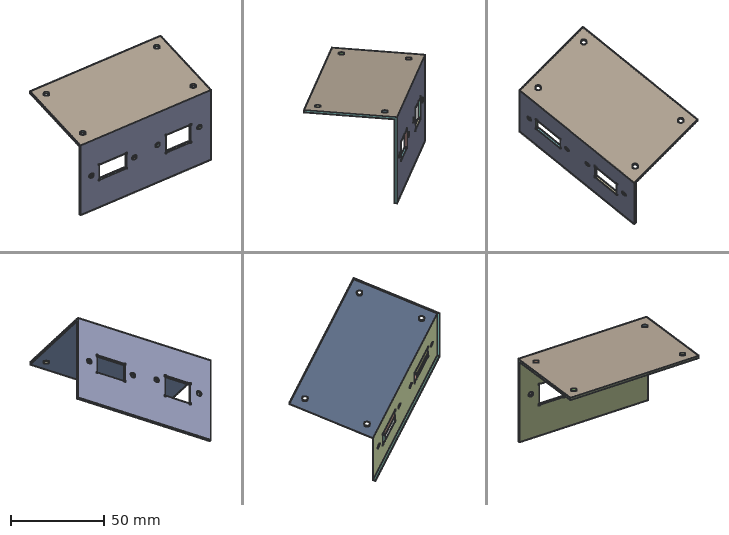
import cadquery as cq

length = 82.55
leg = 50.8
thickness = 1.5

mount_hole_diameter = 3.1
mount_hole_inset = 6.35
clear_width = leg - thickness

window_offset = 20.7
panel_hole_diameter = 3.0

large_window_width = 15.6
large_window_height = 12.8
large_relief_diameter = 1.1
large_window_hole_spacing = 26.4
large_window_hole_rise = 1.9

small_window_width = 17.3
small_window_height = 11.1
small_relief_diameter = 0.8
small_window_hole_spacing = 27.2
small_window_hole_rise = 0.0


def angle_body():
    """L-section with its outer corner at +X, +Z, centred on the origin."""
    half_leg = leg / 2
    inner = half_leg - thickness
    return (
        cq.Workplane("XZ")
        .moveTo(-half_leg, half_leg)
        .lineTo(half_leg, half_leg)
        .lineTo(half_leg, -half_leg)
        .lineTo(inner, -half_leg)
        .lineTo(inner, inner)
        .lineTo(-half_leg, inner)
        .close()
        .extrude(length / 2, both=True)
    )


def mounting_holes():
    """Four vertical cutters through the horizontal plate."""
    return (
        cq.Workplane("XY", origin=(-thickness / 2, 0, leg / 2 - thickness))
        .rect(clear_width - 2 * mount_hole_inset, length - 2 * mount_hole_inset, forConstruction=True)
        .vertices()
        .circle(mount_hole_diameter / 2)
        .extrude(thickness)
    )


def panel_window(center_y, width, height, relief_diameter, hole_spacing, hole_rise):
    """Cutter for a window with round corner reliefs and a screw hole on either side."""
    panel = cq.Workplane("YZ", origin=(leg / 2 - thickness, center_y, 0))
    opening = panel.rect(width, height).extrude(thickness)
    reliefs = (
        panel.rect(width, height, forConstruction=True)
        .vertices()
        .circle(relief_diameter / 2)
        .extrude(thickness)
    )
    screw_holes = (
        panel.pushPoints([(side * hole_spacing / 2, hole_rise) for side in (-1, 1)])
        .circle(panel_hole_diameter / 2)
        .extrude(thickness)
    )
    return opening.union(reliefs).union(screw_holes)


large_window = panel_window(
    window_offset,
    large_window_width,
    large_window_height,
    large_relief_diameter,
    large_window_hole_spacing,
    large_window_hole_rise,
)
small_window = panel_window(
    -window_offset,
    small_window_width,
    small_window_height,
    small_relief_diameter,
    small_window_hole_spacing,
    small_window_hole_rise,
)

result = angle_body().cut(mounting_holes()).cut(large_window).cut(small_window)